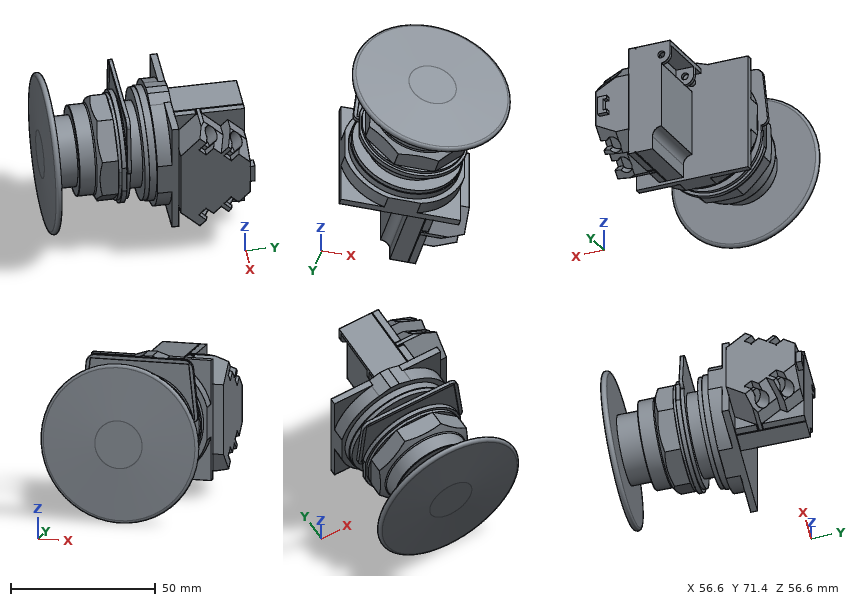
import cadquery as cq
import math


button_radius = 56.6 / 2
button_rim_radius = 1.1
button_rim_y = 1.85
button_face_radius = 8.5
stem_radius = 12.6

collar_radius = 15.9
collar_front_y = 11.1
collar_back_y = 16.7
collar_chamfer = 0.2
nut_flats = 35.1
nut_sides = 8
nut_front_radius = 16.2
nut_front_y = 17.2
nut_back_y = 24.4
nut_chamfer_angle = 60.0
nut_cone_margin = 0.7

washer_radius = 18.8
washer_flat = 18.55
washer_back_y = 25.5
gasket_radius = 19.8
gasket_flat = 19.1
gasket_back_y = 27.1

legend_back_y = 28.4
legend_top_z = 24.7
legend_bottom_z = 2.7
legend_top_half_width = 18.85
legend_bottom_half_width = 21.2
legend_top_fillet = 3.15
legend_bottom_fillet = 2.15
legend_disc_radius = 18.6
legend_rim_width = 1.3
legend_recess = 0.6

barrel_radius = 15.2
barrel_back_y = 33.4
seal_radius = 19.8
seal_back_y = 35.0
shoulder_radius = 20.2
shoulder_back_y = 37.5
base_half_width = 21.4
base_radius = 22.2
base_back_y = 45.0
base_plate_thickness = 2.4
key_top_z = 22.85
key_top_half_width = 1.7
key_foot_half_width = 6.4

block_body_x = 0.0
block_split_x = 9.85
cheek_right_x = 12.6
block_half_height = 20.3
block_back_y = 69.7
groove_width = 0.2
groove_depth = 0.35
rib_front_y = 53.05
rib_back_y = 54.4
rib_top_z = 20.5
rib_gap_front = 0.4
rib_gap_back = 0.2

slab_thickness = 1.7
hinge_z = 15.5
hinge_radius = 3.35
block_left_x = block_body_x - hinge_radius
ear_hole_radius = 1.3
pin_radius = 1.35
ear_spans = [(49.4, 50.8), (68.4, block_back_y)]

terminal_right_x = 25.3
terminal_tilt_x = 17.6
terminal_back_y = 69.5
terminal_tilt = 0.52
crest_y = 63.75
crest_z = 16.2
screw_x = 20.3
screw_radius = 2.9
screw_depth = 4.0
screw_front_y = 56.55
screw_rear_y = 65.4
wire_slot_width = 3.6
wire_slot_depth = 5.5

latch_left_x = 20.2
latch_right_x = 23.7
latch_half_height = 3.3
latch_groove_half_height = 2.0
latch_groove_depth = 1.3
latch_back_y = 71.4


def box(x0, x1, y0, y1, z0, z1):
    return cq.Workplane("XY").box(x1 - x0, y1 - y0, z1 - z0, centered=False).translate((x0, y0, z0))


def section_at(y):
    """Workplane across the axis at y: local x is X, local y is Z, extrusion runs toward -Y."""
    return cq.Workplane("XZ", origin=(0, y, 0))


def disc(radius, y0, y1):
    return section_at(y1).circle(radius).extrude(y1 - y0)


def mirrored(solid):
    """The solid together with its mirror image below Z = 0."""
    return solid.union(solid.mirror("XY"))


def make_button():
    rim_center = button_radius - button_rim_radius
    rim_front_y = button_rim_y - button_rim_radius
    rim_back_y = button_rim_y + button_rim_radius
    cap = (
        cq.Workplane("XY")
        .lineTo(button_face_radius, 0)
        .lineTo(rim_center, rim_front_y)
        .threePointArc((button_radius, button_rim_y), (rim_center, rim_back_y))
        .lineTo(0, rim_back_y)
        .close()
        .revolve(360, (0, 0, 0), (0, 1, 0))
    )
    return cap.union(disc(stem_radius, button_rim_y, collar_front_y))


def make_collar_and_nut():
    collar = (
        cq.Workplane("XY")
        .moveTo(0, collar_front_y)
        .lineTo(collar_radius - collar_chamfer, collar_front_y)
        .lineTo(collar_radius, collar_front_y + collar_chamfer)
        .lineTo(collar_radius, collar_back_y)
        .lineTo(nut_front_radius, nut_front_y)
        .lineTo(0, nut_front_y)
        .close()
        .revolve(360, (0, 0, 0), (0, 1, 0))
    )
    nut_corner = nut_flats / 2 / math.cos(math.pi / nut_sides)
    nut = (
        section_at(nut_back_y)
        .transformed(rotate=(0, 0, 180 / nut_sides))
        .polygon(nut_sides, 2 * nut_corner)
        .extrude(nut_back_y - nut_front_y)
    )
    cone_back_radius = nut_corner + nut_cone_margin
    cone_length = (cone_back_radius - nut_front_radius) / math.tan(math.radians(nut_chamfer_angle))
    chamfer_envelope = (
        cq.Workplane("XY")
        .moveTo(0, nut_front_y)
        .lineTo(nut_front_radius, nut_front_y)
        .lineTo(cone_back_radius, nut_front_y + cone_length)
        .lineTo(cone_back_radius, nut_back_y)
        .lineTo(0, nut_back_y)
        .close()
        .revolve(360, (0, 0, 0), (0, 1, 0))
    )
    return collar.union(nut.intersect(chamfer_envelope))


def make_washers():
    washer = disc(washer_radius, nut_back_y, washer_back_y).intersect(
        box(-washer_flat, washer_flat, nut_back_y, washer_back_y, -washer_flat, washer_flat)
    )
    gasket = disc(gasket_radius, washer_back_y, gasket_back_y).intersect(
        box(-gasket_flat, gasket_flat, washer_back_y, gasket_back_y, -gasket_radius, gasket_radius)
    )
    return washer.union(gasket)


def make_legend_plate():
    outline = [
        (-legend_bottom_half_width, legend_bottom_z),
        (legend_bottom_half_width, legend_bottom_z),
        (legend_top_half_width, legend_top_z),
        (-legend_top_half_width, legend_top_z),
    ]
    plate = section_at(legend_back_y).polyline(outline).close().extrude(legend_back_y - gasket_back_y)
    plate = plate.edges("|Y and >Z").fillet(legend_top_fillet)
    plate = plate.edges("|Y and <Z").fillet(legend_bottom_fillet)
    recess = (
        section_at(gasket_back_y + legend_recess)
        .polyline(outline)
        .close()
        .offset2D(-legend_rim_width)
        .extrude(legend_recess)
    )
    return plate.cut(recess).union(disc(legend_disc_radius, gasket_back_y, legend_back_y))


def make_barrel_and_base():
    barrel = disc(barrel_radius, gasket_back_y, barrel_back_y)
    seal = disc(seal_radius, barrel_back_y, seal_back_y)
    shoulder = disc(shoulder_radius, seal_back_y, shoulder_back_y)
    square = box(
        -base_half_width, base_half_width,
        shoulder_back_y, base_back_y,
        -base_half_width, base_half_width,
    )
    drum = disc(base_radius, shoulder_back_y, base_back_y).intersect(square)
    plate = square.intersect(
        disc(2 * base_half_width, base_back_y - base_plate_thickness, base_back_y)
    )
    key_foot_z = math.sqrt(base_radius**2 - key_foot_half_width**2)
    key = (
        section_at(base_back_y)
        .polyline([
            (-key_foot_half_width, 0),
            (key_foot_half_width, 0),
            (key_foot_half_width, key_foot_z),
            (key_top_half_width, key_top_z),
            (-key_top_half_width, key_top_z),
            (-key_foot_half_width, key_foot_z),
        ])
        .close()
        .extrude(base_back_y - shoulder_back_y)
    )
    return barrel.union(seal).union(shoulder).union(drum).union(plate).union(key)


def make_block_body():
    body = box(
        block_body_x, cheek_right_x, base_back_y, block_back_y, -block_half_height, block_half_height
    )
    grooves = box(
        block_split_x, block_split_x + groove_width,
        base_back_y, block_back_y,
        block_half_height - groove_depth, block_half_height,
    )
    gap_start_x = block_split_x + groove_width
    for y0, y1 in [(rib_front_y - rib_gap_front, rib_front_y), (rib_back_y, rib_back_y + rib_gap_back)]:
        grooves = grooves.union(
            box(gap_start_x, cheek_right_x, y0, y1, block_half_height - groove_depth, block_half_height)
        )
    body = body.cut(mirrored(grooves))
    rib = box(gap_start_x, cheek_right_x, rib_front_y, rib_back_y, 0, rib_top_z)
    return body.union(mirrored(rib))


def add_hinge(body):
    """Cut a round-bottomed channel along both left edges, then hang the ears from the top one."""
    slab_bottom_z = block_half_height - slab_thickness
    channel = (
        section_at(block_back_y)
        .center(block_body_x, hinge_z)
        .circle(hinge_radius)
        .extrude(block_back_y - base_back_y)
        .union(
            box(
                block_left_x, block_body_x + hinge_radius,
                base_back_y, block_back_y,
                hinge_z, block_half_height,
            )
        )
    )
    body = body.cut(mirrored(channel))
    body = body.union(
        box(
            block_left_x, block_body_x + hinge_radius,
            base_back_y, block_back_y,
            slab_bottom_z, block_half_height,
        )
    )
    for y0, y1 in ear_spans:
        ear = (
            section_at(y1)
            .center(block_body_x, hinge_z)
            .circle(hinge_radius)
            .extrude(y1 - y0)
            .union(box(block_left_x, block_body_x + hinge_radius, y0, y1, hinge_z, block_half_height))
        )
        hole = section_at(y1).center(block_body_x, hinge_z).circle(ear_hole_radius).extrude(y1 - y0)
        body = body.union(ear.cut(hole))
    pin_end_y = ear_spans[0][0]
    pin = (
        section_at(pin_end_y)
        .center(block_body_x, hinge_z)
        .circle(pin_radius)
        .extrude(pin_end_y - base_back_y)
    )
    return body.union(pin)


def tooth(points, x0, x1):
    return cq.Workplane("YZ", origin=(x0, 0, 0)).polyline(points).close().extrude(x1 - x0)


def make_terminals():
    front_sum = rib_back_y + rib_top_z
    rear_sum = crest_y + crest_z
    front_tooth = [
        (base_back_y, 0),
        (base_back_y, rib_top_z - (rib_front_y - base_back_y)),
        (rib_front_y, rib_top_z),
        (rib_back_y, rib_top_z),
        (terminal_back_y, front_sum - terminal_back_y),
        (terminal_back_y, 0),
    ]
    rear_tooth = [
        (crest_y - crest_z, 0),
        (crest_y, crest_z),
        (terminal_back_y, rear_sum - terminal_back_y),
        (terminal_back_y, 0),
    ]
    slot_start = math.sqrt(screw_radius**2 - (wire_slot_width / 2) ** 2)
    clearance_size = 2 * terminal_back_y
    terminals = None
    screws = [(front_tooth, front_sum, screw_front_y), (rear_tooth, rear_sum, screw_rear_y)]
    for points, flank_sum, screw_y in screws:
        inner = tooth(points, cheek_right_x, terminal_tilt_x)
        tilted_flank = cq.Plane(
            origin=(terminal_tilt_x, screw_y, flank_sum - screw_y),
            xDir=(0, 1, -1),
            normal=(terminal_tilt, 1, 1),
        )
        clearance = cq.Workplane(tilted_flank).rect(clearance_size, clearance_size).extrude(clearance_size)
        outer = tooth(points, terminal_tilt_x, terminal_right_x).cut(clearance)
        step = inner.union(outer)
        terminals = step if terminals is None else terminals.union(step)
    for points, flank_sum, screw_y in screws:
        screw_z = flank_sum - screw_y - terminal_tilt * (screw_x - terminal_tilt_x)
        mouth = cq.Workplane(
            cq.Plane(origin=(screw_x, screw_y, screw_z), xDir=(1, 0, 0), normal=(0, 1, 1))
        )
        screw_hole = mouth.workplane(offset=-screw_depth).circle(screw_radius).extrude(2 * screw_depth)
        slot_length = terminal_right_x - screw_x - slot_start
        wire_slot = (
            mouth.workplane(offset=-wire_slot_depth)
            .center(slot_start + slot_length / 2, 0)
            .rect(slot_length, wire_slot_width)
            .extrude(2 * wire_slot_depth)
        )
        terminals = terminals.cut(screw_hole).cut(wire_slot)
    return mirrored(terminals)


def make_latch():
    latch = box(
        latch_left_x, latch_right_x,
        terminal_back_y, latch_back_y,
        -latch_half_height, latch_half_height,
    )
    groove = box(
        latch_left_x, latch_left_x + latch_groove_depth,
        terminal_back_y, latch_back_y,
        -latch_groove_half_height, latch_groove_half_height,
    )
    return latch.cut(groove)


result = (
    make_button()
    .union(make_collar_and_nut())
    .union(make_washers())
    .union(make_legend_plate())
    .union(make_barrel_and_base())
    .union(add_hinge(make_block_body()))
    .union(make_terminals())
    .union(make_latch())
)